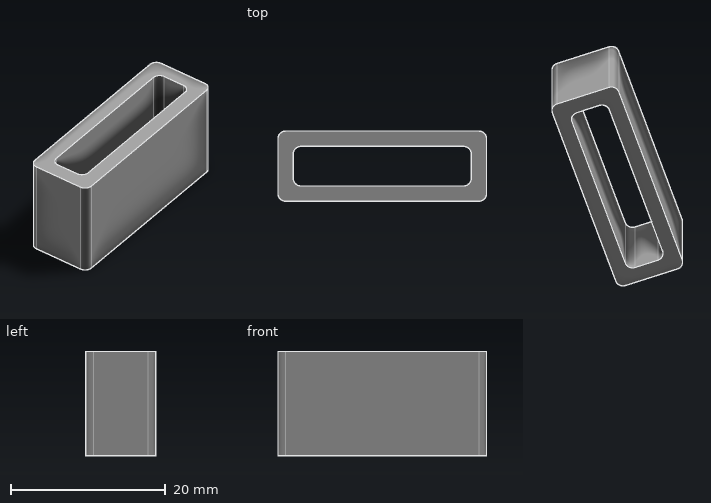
import cadquery as cq

length = 27.0
width = 9.1
height = 13.5

wall = 2.0
corner_radius = wall / 2


def rounded_block(size_x, size_y):
    """Full-height block with rounded vertical edges, standing on Z = 0."""
    block = cq.Workplane("XY").rect(size_x, size_y).extrude(height)
    return block.edges("|Z").fillet(corner_radius)


outer_body = rounded_block(length, width)
through_opening = rounded_block(length - 2 * wall, width - 2 * wall)

result = outer_body.cut(through_opening)